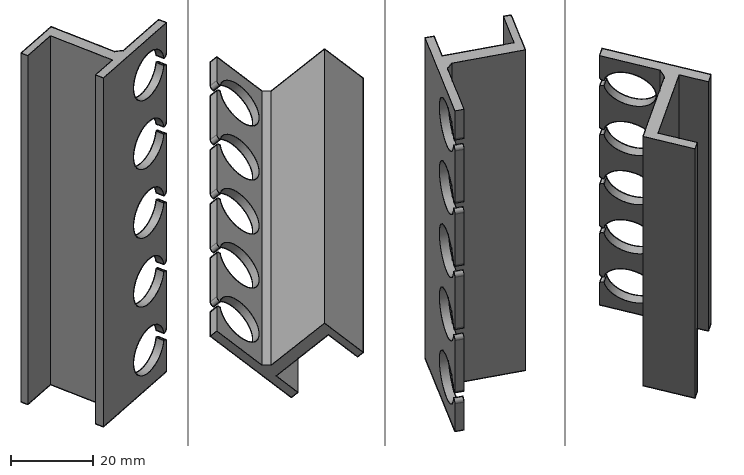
import cadquery as cq

width = 22.5
depth = 30.2
length = 105.0
clip_flange_thickness = 2.3
lip_thickness = 2.0
web_thickness = 3.3
web_back_offset = 17.0
flange_front_setback = 2.5
corner_chamfer = 1.6

hole_count = 5
hole_pitch = 20.7
hole_diameter = 13.3
hole_rear_offset = 7.8
mouth_width = 2.1
mouth_tip_radius = 0.9

flange_inner_x = width - clip_flange_thickness
web_rear_y = depth - web_back_offset
web_front_y = web_rear_y - web_thickness
hole_centre_y = depth - hole_rear_offset
first_hole_z = (length - (hole_count - 1) * hole_pitch) / 2


def make_rail():
    """Extrude the cross-section of flange, web and lip along Z."""
    outline = [
        (0, 0),
        (lip_thickness, 0),
        (lip_thickness, web_front_y),
        (flange_inner_x, web_front_y),
        (flange_inner_x, flange_front_setback),
        (width, flange_front_setback),
        (width, depth),
        (flange_inner_x, depth),
        (flange_inner_x, web_rear_y + corner_chamfer),
        (flange_inner_x - corner_chamfer, web_rear_y),
        (0, web_rear_y),
    ]
    return cq.Workplane("XY").polyline(outline).close().extrude(length)


def make_snap_holes():
    """Round holes through the clip flange, each opening to the rear edge by a narrow mouth."""
    flange_plane = cq.Workplane("YZ", origin=(flange_inner_x, 0, 0))
    centres = [(hole_centre_y, first_hole_z + i * hole_pitch) for i in range(hole_count)]
    mouths = [(hole_centre_y + hole_rear_offset / 2, z) for _, z in centres]
    holes = flange_plane.pushPoints(centres).circle(hole_diameter / 2).extrude(clip_flange_thickness)
    slots = flange_plane.pushPoints(mouths).rect(hole_rear_offset, mouth_width).extrude(clip_flange_thickness)
    return holes.union(slots)


def round_mouth_tips(rail):
    """Round the outer corners of both tips at every mouth."""
    tips = cq.selectors.BoxSelector(
        (flange_inner_x, depth - mouth_tip_radius, first_hole_z - mouth_width),
        (width, depth + mouth_tip_radius, length - first_hole_z + mouth_width),
    )
    return rail.edges("|X").edges(tips).fillet(mouth_tip_radius)


result = round_mouth_tips(make_rail().cut(make_snap_holes()))